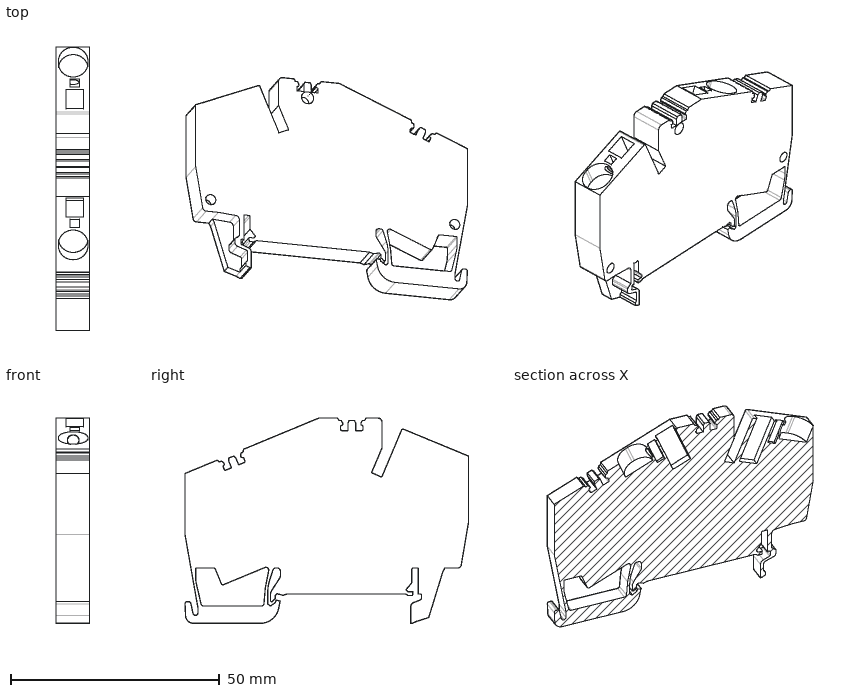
import cadquery as cq
import math


WIDTH = 8.1
LENGTH = 67.95
HEIGHT = 49.19
SLOPE = 22.5

X_SIDE = -WIDTH / 2
Y_END = LENGTH / 2

DECK_FRONT_Y = -1.9
DECK_BACK_Y = 13.25
CREST_Y = 18.04
BACK_EDGE_Z = 40.07
SHOULDER_BACK_Z = 24.3
SHOULDER_FRONT_Z = 21.35
HOUSING_FLOOR_Z = 13.25
RAIL_SEAT_Z = 7.05

NOTCH_DEPTH = 3.0
NOTCH_LIP_WIDTH = 3.4
NOTCH_STEP_WIDTH = 3.05
NOTCH_LEDGE_WIDTH = 2.5
NOTCH_NECK_WIDTH = 2.15
NOTCH_FLOOR_WIDTH = 2.65
NOTCH_LEDGE_DEPTH = 0.6
NOTCH_NECK_TOP = 1.25
NOTCH_NECK_BOTTOM = 1.6
NOTCH_UNDERCUT_DEPTH = 1.95
NOTCH_FLOOR_ROUND = 0.25
TAB_HALF_WIDTH = 0.95
TAB_TIP_HALF_WIDTH = 0.65
TAB_TAPER_DEPTH = 1.2
DECK_NOTCH_Y = 6.0
SLOPE_NOTCH_Y = -23.1

DRIVER_X = 0.1
DRIVER_DIAMETER = 7.05
DRIVER_LENGTH = 7.7
DRIVER_DEPTH = 4.6
RECESS_DIAMETER = 2.8
RECESS_TOP_DEPTH = 0.86
RECESS_REACH = 0.4
WIRE_X = 0.5
WIRE_WIDTH = 4.2
WIRE_LENGTH = 4.85
TEST_WIDTH = 2.2
TEST_LENGTH = 2.0
TEST_DEPTH = 6.0

BORE_DEPTH = 4.0
DECK_BORE_DIAMETER = 3.0
CORNER_BORE_DIAMETER = 2.5
CORNER_BORE_Z = 16.3
FRONT_BORE_Y = -30.8
BACK_BORE_Y = 30.2

WEDGE_SETBACK = 5.0

TAN_SLOPE = math.tan(math.radians(SLOPE))
SIN_SLOPE = math.sin(math.radians(SLOPE))
COS_SLOPE = math.cos(math.radians(SLOPE))


def front_slope_z(y):
    """Height of the -Y sloped face."""
    return HEIGHT - (DECK_FRONT_Y - y) * TAN_SLOPE


def back_slope_z(y):
    """Height of the +Y sloped face."""
    return BACK_EDGE_Z + (Y_END - y) * TAN_SLOPE


def rounded_outline(plane, corners):
    """Closed outline through (u, v) corners; a third value rounds that corner with a tangent arc."""
    stretches = []
    for i, corner in enumerate(corners):
        point = cq.Vector(corner[0], corner[1])
        if len(corner) == 2:
            stretches.append([point])
            continue
        radius = corner[2]
        after = corners[(i + 1) % len(corners)]
        to_before = (cq.Vector(*corners[i - 1][:2]) - point).normalized()
        to_after = (cq.Vector(*after[:2]) - point).normalized()
        half_angle = to_before.getAngle(to_after) / 2
        setback = radius / math.tan(half_angle)
        centre_distance = radius / math.sin(half_angle)
        bisector = (to_before + to_after).normalized()
        start = point + to_before * setback
        middle = point + bisector * (centre_distance - radius)
        end = point + to_after * setback
        stretches.append([start, middle, end])

    outline = cq.Workplane(plane).moveTo(*stretches[0][-1].toTuple()[:2])
    for stretch in stretches[1:] + stretches[:1]:
        outline = outline.lineTo(*stretch[0].toTuple()[:2])
        if len(stretch) > 1:
            outline = outline.threePointArc(stretch[1].toTuple()[:2], stretch[2].toTuple()[:2])
    return outline.close()


def side_plane(x=X_SIDE, y=0, z=0, tilt=0):
    """Plane parallel to YZ facing +X, its first axis along +Y raised by tilt degrees."""
    angle = math.radians(tilt)
    return cq.Plane(origin=(x, y, z), xDir=(0, math.cos(angle), math.sin(angle)), normal=(1, 0, 0))


HOOK_OUTER_LINE = [
    (28.3, HOUSING_FLOOR_Z),
    (23.07, 12.84, 1.0),
    (23.07, 7.89),
    (24.19, 7.04, 0.4),
    (24.19, 5.35, 1.0),
    (21.01, 4.25, 0.5),
    (21.01, 1.75),
    (21.46, 1.23),
    (21.46, 0.45),
]

BACK_HOOK_INNER = [
    (20.45, 0),
    (20.06, 0),
    (20.06, 4.75, 1.2),
    (22.65, 5.75, 0.3),
    (22.65, 7.04, 0.3),
    (21.87, 7.04),
    (21.87, HOUSING_FLOOR_Z),
    (20.4, HOUSING_FLOOR_Z, 0.3),
    (20.4, 9.77),
    (19.0, 8.1, 0.2),
    (19.4, 7.65),
    (20.6, 7.65),
    (20.6, 6.65, 0.3),
    (19.5, 6.65),
    (18.8, RAIL_SEAT_Z),
]

FRONT_FOOT = [
    (-9.5, RAIL_SEAT_Z),
    (-10.5, 6.72),
    (-11.9, 7.1, 0.2),
    (-12.3, 6.7),
    (-12.3, 5.95),
    (-13.2, 5.1, 0.25),
    (-13.52, 5.4),
    (-13.52, 7.4, 2.0),
    (-11.13, 11.1, 0.8),
    (-11.13, HOUSING_FLOOR_Z, 0.7),
    (-12.7, HOUSING_FLOOR_Z, 0.6),
    (-14.08, 9.0, 8.0),
    (-14.08, 4.65),
    (-13.45, 4.2),
    (-12.3, 5.05),
    (-12.15, 5.6),
    (-11.13, 5.4),
    (-12.2, 0, 4.5),
    (-33.75, 0, 2.0),
    (-33.975, 5.25, 0.55),
    (-32.6, 5.25, 0.6),
    (-31.9, 1.98, 0.5),
    (-30.87, 1.98, 0.5),
    (-30.87, 3.79),
]

FOOT_WINDOW = [
    (-13.7, 13.82, 0.65),
    (-25.1, 9.1, 0.5),
    (-26.8, HOUSING_FLOOR_Z, 0.3),
    (-31.35, HOUSING_FLOOR_Z, 0.2),
    (-31.35, 10.2, 8.0),
    (-29.95, 4.2, 0.6),
    (-15.1, 4.2, 0.5),
    (-14.75, 8.4),
]


def make_housing():
    """Housing, rail seat, back hook and front foot as one full-width profile."""
    housing_top = [
        (Y_END, SHOULDER_BACK_Z),
        (Y_END, BACK_EDGE_Z),
        (CREST_Y, back_slope_z(CREST_Y), 0.4),
        (13.15, 35.05),
        (10.75, 36.1),
        (DECK_BACK_Y, 42.0),
        (DECK_BACK_Y, HEIGHT, 1.0),
        (DECK_FRONT_Y, HEIGHT),
        (-Y_END, front_slope_z(-Y_END)),
        (-Y_END, SHOULDER_FRONT_Z),
    ]
    back_corner = [(32.1, HOUSING_FLOOR_Z, 0.9)]
    profile = (
        housing_top
        + FRONT_FOOT[::-1]
        + BACK_HOOK_INNER[::-1]
        + HOOK_OUTER_LINE[::-1]
        + back_corner
    )
    housing = rounded_outline(side_plane(), profile).extrude(WIDTH)
    window = rounded_outline(side_plane(), FOOT_WINDOW).extrude(WIDTH)
    return housing.cut(window)


def make_wedge():
    """Brace behind the back hook."""
    wedge_outline = HOOK_OUTER_LINE + [(24.43, 1.4), (27.85, 12.5)]
    plane = side_plane(x=X_SIDE + WEDGE_SETBACK)
    return rounded_outline(plane, wedge_outline).extrude(WIDTH - WEDGE_SETBACK)


def make_notch(y, z, tilt):
    """Label notch across the full width, with a taper-tipped tab left standing in it."""
    half = [
        (NOTCH_LIP_WIDTH, NOTCH_LEDGE_DEPTH),
        (NOTCH_LIP_WIDTH, 0),
        (NOTCH_STEP_WIDTH, -NOTCH_LEDGE_DEPTH),
        (NOTCH_LEDGE_WIDTH, -NOTCH_LEDGE_DEPTH),
        (NOTCH_NECK_WIDTH, -NOTCH_NECK_TOP),
        (NOTCH_NECK_WIDTH, -NOTCH_NECK_BOTTOM),
        (NOTCH_FLOOR_WIDTH, -NOTCH_UNDERCUT_DEPTH),
        (NOTCH_FLOOR_WIDTH, -NOTCH_DEPTH, NOTCH_FLOOR_ROUND),
        (TAB_HALF_WIDTH, -NOTCH_DEPTH),
        (TAB_HALF_WIDTH, -TAB_TAPER_DEPTH),
        (TAB_TIP_HALF_WIDTH, -NOTCH_LEDGE_DEPTH),
    ]
    mirrored = [(-corner[0], *corner[1:]) for corner in reversed(half)]
    return rounded_outline(side_plane(y=y, z=z, tilt=tilt), half + mirrored).extrude(WIDTH)


def make_slope_pockets(surface_z, facing, driver_y, test_y, wire_y, wire_depth):
    """Driver, test and wire pockets sunk square to a sloped face; facing is +1 or -1 along Y."""
    normal = (0, facing * SIN_SLOPE, COS_SLOPE)

    def on_face(x, y):
        plane = cq.Plane(origin=(x, y, surface_z(y)), xDir=(1, 0, 0), normal=normal)
        return cq.Workplane(plane)

    driver = on_face(DRIVER_X, driver_y).slot2D(DRIVER_LENGTH, DRIVER_DIAMETER, 90).extrude(-DRIVER_DEPTH)
    test = on_face(WIRE_X, test_y).rect(TEST_WIDTH, TEST_LENGTH).extrude(-TEST_DEPTH)
    wire = on_face(WIRE_X, wire_y).rect(WIRE_WIDTH, WIRE_LENGTH).extrude(-wire_depth)

    recess_depth = RECESS_TOP_DEPTH + RECESS_DIAMETER / 2
    recess_origin = cq.Vector(DRIVER_X, driver_y, surface_z(driver_y)) - cq.Vector(*normal) * recess_depth
    uphill = (0, -facing * COS_SLOPE, SIN_SLOPE)
    recess_plane = cq.Plane(origin=recess_origin.toTuple(), xDir=(1, 0, 0), normal=uphill)
    recess_length = DRIVER_LENGTH / 2 + RECESS_REACH
    recess = cq.Workplane(recess_plane).circle(RECESS_DIAMETER / 2).extrude(recess_length)
    return driver.union(recess).union(test).union(wire)


def make_side_bore(y, z, diameter):
    """Blind bore in the side face."""
    return cq.Workplane(side_plane()).center(y, z).circle(diameter / 2).extrude(BORE_DEPTH)


result = make_housing().union(make_wedge())

result = result.cut(make_notch(DECK_NOTCH_Y, HEIGHT, 0))
result = result.cut(make_notch(SLOPE_NOTCH_Y, front_slope_z(SLOPE_NOTCH_Y), SLOPE))

result = result.cut(
    make_slope_pockets(front_slope_z, -1, driver_y=-13.45, test_y=-8.3, wire_y=-4.5, wire_depth=10.4)
)
result = result.cut(
    make_slope_pockets(back_slope_z, 1, driver_y=30.3, test_y=25.3, wire_y=21.45, wire_depth=12.0)
)

deck_bore_z = HEIGHT - NOTCH_DEPTH - DECK_BORE_DIAMETER / 2
result = result.cut(make_side_bore(DECK_NOTCH_Y, deck_bore_z, DECK_BORE_DIAMETER))
for bore_y in (FRONT_BORE_Y, BACK_BORE_Y):
    result = result.cut(make_side_bore(bore_y, CORNER_BORE_Z, CORNER_BORE_DIAMETER))